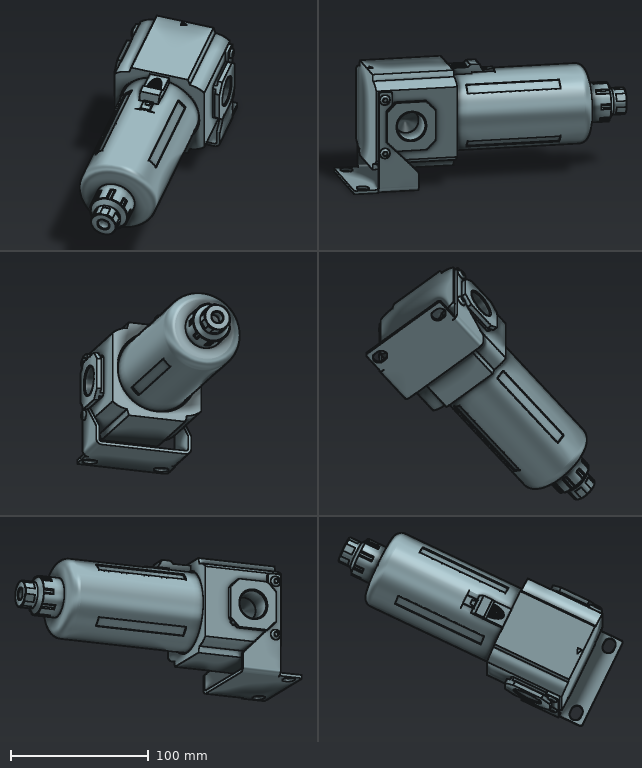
import cadquery as cq
import math


HOUSING_LENGTH = 60.1
HOUSING_HALF_WIDTH = 34.1
SIDE_HALF_HEIGHT = 26.2
SHOULDER_HALF_HEIGHT = 31.0
HALF_HEIGHT = 35.5
PAD_BASE_HALF_WIDTH = 23.0
PAD_HALF_WIDTH = 21.6
CORNER_RADIUS = 18.7
ARROW_LENGTH = 4.2
ARROW_HALF_WIDTH = 1.7
ARROW_Y = 57.2
ARROW_DEPTH = 0.5

PORT_Y = 35.4
PORT_FACE_X = 40.05
PORT_PLATE_THICKNESS = 3.43
PORT_PLATE_SIZE = 36.0
PORT_PLATE_CORNER = 6.7
PORT_NECK_SIZE = 31.2
PORT_NECK_CORNER = 1.9
PORT_MOUTH_RADIUS = 11.2
PORT_RADIUS = 10.5
PORT_END_RADIUS = 9.0
PORT_MOUTH_DEPTH = 0.8
PORT_DEPTH = 16.6
DRILL_HALF_ANGLE = 59

BOWL_RADIUS = 29.3
BOWL_END_Y = -102.8
BOWL_FILLET = 6.9
BOWL_SEAT_RADIUS = 30.4
BOWL_SEAT_DEPTH = 2.0
WINDOW_LENGTH = 69.0
WINDOW_START_Y = -10.2
WINDOW_WIDTH = 7.7
WINDOW_FLOOR_RADIUS = 28.0
WINDOW_ANGLES = (45, 135, 225, 315)
CUT_CLEARANCE = 2.0

LATCH_WIDTH = 14.5
LATCH_LENGTH = 34.1
LATCH_TOP = 33.3
HUMP_SHOULDER_Z = 35.2
HUMP_TOP = 35.4
TONGUE_TOP = 30.2
LATCH_UNDERSIDE_Z = 29.5
LATCH_STEP_Y = -16.8
GRIP_END_Y = -13.7
HUMP_SHOULDER_Y = -15.5
HUMP_END_Y = -22.5
LATCH_FOOT_Y = -25.8
TONGUE_WIDTH = 6.9
NOTCH_LENGTH = 3.3
NOTCH_WIDTH = 4.4
NOTCH_END_WIDTH = 3.1
NOTCH_DEPTH = 0.6
GRIP_LENGTH = 10.8
GRIP_HALF_WIDTH = 5.0
GRIP_STEPS = 8
GRIP_STEP_DEPTH = 0.2

KNOB_RADIUS = 14.5
KNOB_END_Y = -118.8
CONE_END_Y = -121.7
NOZZLE_RADIUS = 9.88
NOZZLE_END_Y = -131.5
NOZZLE_CHAMFER = 0.6
NOZZLE_BORE_RADIUS = 4.2
NOZZLE_BORE_DEPTH = 8.3
FLAT_COUNT = 6
FLAT_DISTANCE = 9.46
FLAT_START_Y = -123.8
GROOVE_COUNT = 8
GROOVE_WIDTH = 4.4
GROOVE_FLOOR_WIDTH = 1.9
GROOVE_DEPTH = 0.8
CONE_RADIUS = KNOB_RADIUS - GROOVE_DEPTH
LONG_GROOVE = 10.5
SHORT_GROOVE = 7.5

SHEET = 2.5
BRACKET_HALF_WIDTH = HOUSING_HALF_WIDTH + SHEET
BRACKET_BOTTOM_Z = -50.0
BRACKET_TOP_Z = 25.8
BRACKET_REAR_Y = 58.7
BRACKET_FRONT_Y = 29.0
ARM_FRONT_Y = 48.7
BRACKET_CORNER_RADIUS = 1.9
BEND_RADIUS = 4.4
TAB_REAR_Y = 76.5
TAB_HALF_WIDTH = 34.85
TAB_CORNER_RADIUS = 1.7
SLOT_LENGTH = 11.0
SLOT_WIDTH = 8.5
SLOT_X = 27.5
SLOT_Y = 68.6

SCREW_Y = 54.3
SCREW_Z = 20.0
SCREW_RADIUS = 3.7
SCREW_HEIGHT = 1.98
SCREW_FILLET = 1.9
SOCKET_RADIUS = 1.7
SOCKET_DEPTH = 1.0


def front_plane(y):
    """Plane facing -Y at the given Y; local axes are X and Z."""
    return cq.Workplane("XZ", origin=(0, y, 0))


def side_plane(x):
    """Plane facing +X at the given X; local axes are Y and Z."""
    return cq.Workplane("YZ", origin=(x, 0, 0))


def cylinder_along_y(radius, start_y, end_y):
    """Cylinder on the bowl axis, running towards -Y."""
    return front_plane(start_y).circle(radius).extrude(start_y - end_y)


def revolve_about_y(points):
    """Solid of revolution from (radius, y) points."""
    return cq.Workplane("XY").polyline(points).close().revolve(360, (0, 0), (0, 1))


def mirror_x(solid):
    return solid.mirror("YZ")



def housing_block():
    """Extruded section: flat sides, rounded corners and a raised pad above and below."""
    half = (
        front_plane(HOUSING_LENGTH)
        .moveTo(0, -HALF_HEIGHT)
        .lineTo(PAD_HALF_WIDTH, -HALF_HEIGHT)
        .lineTo(PAD_BASE_HALF_WIDTH, -SHOULDER_HALF_HEIGHT)
        .radiusArc((HOUSING_HALF_WIDTH, -SIDE_HALF_HEIGHT), -CORNER_RADIUS)
        .lineTo(HOUSING_HALF_WIDTH, SIDE_HALF_HEIGHT)
        .radiusArc((PAD_BASE_HALF_WIDTH, SHOULDER_HALF_HEIGHT), -CORNER_RADIUS)
        .lineTo(PAD_HALF_WIDTH, HALF_HEIGHT)
        .lineTo(0, HALF_HEIGHT)
        .close()
        .extrude(HOUSING_LENGTH)
    )
    return half.union(mirror_x(half))


def port_octagon(start_x, end_x, size, corner):
    """Square plate with cut corners, centred on the port axis."""
    return (
        side_plane(start_x)
        .center(PORT_Y, 0)
        .rect(size, size)
        .extrude(end_x - start_x)
        .edges("|X")
        .chamfer(corner)
    )


def port_bore():
    """Chamfered, tapered bore ending in a drill point."""
    bore_end_x = PORT_FACE_X - PORT_DEPTH
    tip_x = bore_end_x - PORT_END_RADIUS / math.tan(math.radians(DRILL_HALF_ANGLE))
    points = [
        (PORT_FACE_X, 0),
        (PORT_FACE_X, PORT_MOUTH_RADIUS),
        (PORT_FACE_X - PORT_MOUTH_DEPTH, PORT_RADIUS),
        (bore_end_x, PORT_END_RADIUS),
        (tip_x, 0),
    ]
    return (
        cq.Workplane("XY", origin=(0, PORT_Y, 0))
        .polyline(points)
        .close()
        .revolve(360, (0, 0), (1, 0))
    )


def make_housing():
    plate_back_x = PORT_FACE_X - PORT_PLATE_THICKNESS
    neck = port_octagon(HOUSING_HALF_WIDTH, plate_back_x, PORT_NECK_SIZE, PORT_NECK_CORNER)
    plate = port_octagon(plate_back_x, PORT_FACE_X, PORT_PLATE_SIZE, PORT_PLATE_CORNER)
    boss = neck.union(plate)
    bore = port_bore()
    seat = cylinder_along_y(BOWL_SEAT_RADIUS, BOWL_SEAT_DEPTH, 0)
    arrow = (
        cq.Workplane("XY", origin=(0, ARROW_Y, HALF_HEIGHT))
        .polyline([
            (-ARROW_LENGTH / 2, -ARROW_HALF_WIDTH),
            (ARROW_LENGTH / 2, 0),
            (-ARROW_LENGTH / 2, ARROW_HALF_WIDTH),
        ])
        .close()
        .extrude(-ARROW_DEPTH)
    )
    return (
        housing_block()
        .union(boss)
        .union(mirror_x(boss))
        .cut(bore)
        .cut(mirror_x(bore))
        .cut(seat)
        .cut(arrow)
    )



BOWL_FLAT_Z = math.sqrt(BOWL_RADIUS**2 - (LATCH_WIDTH / 2) ** 2)


def box(x_width, y_min, y_max, z_min, z_max):
    """Block centred on X = 0."""
    return (
        cq.Workplane("XY", origin=(0, (y_min + y_max) / 2, z_min))
        .rect(x_width, y_max - y_min)
        .extrude(z_max - z_min)
    )


def make_bowl():
    bowl = cylinder_along_y(BOWL_RADIUS, BOWL_SEAT_DEPTH, BOWL_END_Y)
    bowl = bowl.faces("<Y").edges().fillet(BOWL_FILLET)
    cut_top = BOWL_RADIUS + CUT_CLEARANCE
    window = box(
        WINDOW_WIDTH, WINDOW_START_Y - WINDOW_LENGTH, WINDOW_START_Y, WINDOW_FLOOR_RADIUS, cut_top
    )
    for angle in WINDOW_ANGLES:
        bowl = bowl.cut(window.rotate((0, 0, 0), (0, 1, 0), angle))
    latch_flat = box(LATCH_WIDTH, -LATCH_LENGTH, LATCH_STEP_Y, BOWL_FLAT_Z, cut_top)
    return bowl.cut(latch_flat)



def grip_recess():
    """Half-elliptic finger recess that steps down towards its centre."""
    recess = None
    for step in range(GRIP_STEPS):
        scale = 1 - step / GRIP_STEPS
        ellipse = (
            cq.Workplane("XY", origin=(0, GRIP_END_Y, LATCH_TOP))
            .ellipse(GRIP_HALF_WIDTH * scale, GRIP_LENGTH * scale)
            .extrude(-GRIP_STEP_DEPTH * (step + 1))
        )
        recess = ellipse if recess is None else recess.union(ellipse)
    return recess.intersect(box(LATCH_WIDTH, GRIP_END_Y, 0, 0, LATCH_TOP))


def make_latch():
    profile = [
        (0, BOWL_FLAT_Z),
        (0, LATCH_TOP),
        (GRIP_END_Y, LATCH_TOP),
        (HUMP_SHOULDER_Y, HUMP_SHOULDER_Z),
        (LATCH_STEP_Y, HUMP_TOP),
        (HUMP_END_Y, HUMP_TOP),
        (LATCH_FOOT_Y, LATCH_UNDERSIDE_Z),
        (LATCH_STEP_Y, LATCH_UNDERSIDE_Z),
        (LATCH_STEP_Y, BOWL_FLAT_Z),
    ]
    button = side_plane(0).polyline(profile).close().extrude(LATCH_WIDTH / 2, both=True)
    button = button.cut(cylinder_along_y(BOWL_RADIUS, 0, LATCH_STEP_Y))
    tongue = box(TONGUE_WIDTH, -LATCH_LENGTH, LATCH_STEP_Y, BOWL_FLAT_Z, TONGUE_TOP)
    notch = (
        cq.Workplane("XY", origin=(0, LATCH_FOOT_Y, TONGUE_TOP))
        .polyline([
            (-NOTCH_WIDTH / 2, 0),
            (-NOTCH_END_WIDTH / 2, -NOTCH_LENGTH),
            (NOTCH_END_WIDTH / 2, -NOTCH_LENGTH),
            (NOTCH_WIDTH / 2, 0),
        ])
        .close()
        .extrude(-NOTCH_DEPTH)
    )
    return button.union(tongue).cut(notch).cut(grip_recess())



def knob_groove(length):
    """Flared grip groove on the +Z side of the knob, open towards -Y."""
    return (
        front_plane(KNOB_END_Y + length)
        .polyline([
            (-GROOVE_FLOOR_WIDTH / 2, CONE_RADIUS),
            (GROOVE_FLOOR_WIDTH / 2, CONE_RADIUS),
            (GROOVE_WIDTH / 2, KNOB_RADIUS),
            (-GROOVE_WIDTH / 2, KNOB_RADIUS),
        ])
        .close()
        .extrude(length)
    )


def make_drain():
    drain = revolve_about_y([
        (0, BOWL_END_Y),
        (KNOB_RADIUS, BOWL_END_Y),
        (KNOB_RADIUS, KNOB_END_Y),
        (CONE_RADIUS, KNOB_END_Y),
        (NOZZLE_RADIUS, CONE_END_Y),
        (NOZZLE_RADIUS, NOZZLE_END_Y + NOZZLE_CHAMFER),
        (NOZZLE_RADIUS - NOZZLE_CHAMFER, NOZZLE_END_Y),
        (0, NOZZLE_END_Y),
    ])
    for index in range(GROOVE_COUNT):
        length = LONG_GROOVE if index % 4 in (0, 3) else SHORT_GROOVE
        groove = knob_groove(length)
        drain = drain.cut(groove.rotate((0, 0, 0), (0, 1, 0), index * 360 / GROOVE_COUNT))
    flat = box(2 * NOZZLE_RADIUS, NOZZLE_END_Y, FLAT_START_Y, FLAT_DISTANCE, NOZZLE_RADIUS)
    for index in range(FLAT_COUNT):
        drain = drain.cut(flat.rotate((0, 0, 0), (0, 1, 0), index * 360 / FLAT_COUNT))
    bore = revolve_about_y([
        (0, NOZZLE_END_Y + NOZZLE_BORE_DEPTH),
        (NOZZLE_BORE_RADIUS, NOZZLE_END_Y + NOZZLE_BORE_DEPTH),
        (NOZZLE_BORE_RADIUS, NOZZLE_END_Y + NOZZLE_CHAMFER),
        (NOZZLE_BORE_RADIUS + NOZZLE_CHAMFER, NOZZLE_END_Y),
        (0, NOZZLE_END_Y),
    ])
    return drain.cut(bore)



def bent_strip():
    """U-shaped sheet with rounded bends, open at the top."""
    inner_floor_z = BRACKET_BOTTOM_Z + SHEET
    outer = (
        box(2 * BRACKET_HALF_WIDTH, BRACKET_FRONT_Y, BRACKET_REAR_Y, BRACKET_BOTTOM_Z, BRACKET_TOP_Z)
        .edges("|Y and <Z")
        .fillet(BEND_RADIUS)
    )
    inner = (
        box(2 * HOUSING_HALF_WIDTH, BRACKET_FRONT_Y, BRACKET_REAR_Y, inner_floor_z, BRACKET_TOP_Z)
        .edges("|Y and <Z")
        .fillet(BEND_RADIUS - SHEET)
    )
    return outer.cut(inner)


def arm_outline():
    """Side outline of the bracket, notched around the port neck."""
    neck_half = PORT_NECK_SIZE / 2
    notch_y = PORT_Y + neck_half
    notch_z = neck_half - PORT_NECK_CORNER
    notch_rise = notch_y - ARM_FRONT_Y
    slope_end_z = -notch_z - (notch_y - BRACKET_FRONT_Y)
    slope_end = cq.selectors.NearestToPointSelector((0, BRACKET_FRONT_Y, slope_end_z))
    return (
        side_plane(0)
        .polyline([
            (BRACKET_REAR_Y, BRACKET_BOTTOM_Z),
            (BRACKET_REAR_Y, BRACKET_TOP_Z),
            (ARM_FRONT_Y, BRACKET_TOP_Z),
            (ARM_FRONT_Y, notch_z + notch_rise),
            (notch_y, notch_z),
            (notch_y, -notch_z),
            (BRACKET_FRONT_Y, slope_end_z),
            (BRACKET_FRONT_Y, BRACKET_BOTTOM_Z),
        ])
        .close()
        .extrude(BRACKET_HALF_WIDTH, both=True)
        .edges("|X and >Z")
        .fillet(BRACKET_CORNER_RADIUS)
        .edges(slope_end)
        .fillet(BRACKET_CORNER_RADIUS)
    )


def mounting_tab():
    tab = (
        box(2 * TAB_HALF_WIDTH, BRACKET_REAR_Y, TAB_REAR_Y, BRACKET_BOTTOM_Z, BRACKET_BOTTOM_Z + SHEET)
        .edges("|Z and >Y")
        .fillet(TAB_CORNER_RADIUS)
    )
    slots = (
        cq.Workplane("XY", origin=(0, SLOT_Y, BRACKET_BOTTOM_Z))
        .pushPoints([(-SLOT_X, 0), (SLOT_X, 0)])
        .slot2D(SLOT_LENGTH, SLOT_WIDTH)
        .extrude(SHEET)
    )
    return tab.cut(slots)


def make_bracket():
    return bent_strip().intersect(arm_outline()).union(mounting_tab())



def make_screw(side, z):
    """Button-head screw on the bracket arm; side is +1 or -1 along X."""
    head = side_plane(BRACKET_HALF_WIDTH).center(SCREW_Y, z).circle(SCREW_RADIUS).extrude(SCREW_HEIGHT)
    head = head.faces(">X").edges().fillet(SCREW_FILLET)
    head = head.faces(">X").workplane(origin=(0, SCREW_Y, z)).circle(SOCKET_RADIUS).cutBlind(-SOCKET_DEPTH)
    return head if side > 0 else mirror_x(head)


housing = make_housing()
bowl = make_bowl()
latch = make_latch()
drain = make_drain()
bracket = make_bracket()
screws = [make_screw(side, z) for side in (-1, 1) for z in (-SCREW_Z, SCREW_Z)]

result = cq.Compound.makeCompound([
    housing.val(),
    bowl.val(),
    latch.val(),
    drain.val(),
    bracket.val(),
    *[screw.val() for screw in screws],
])